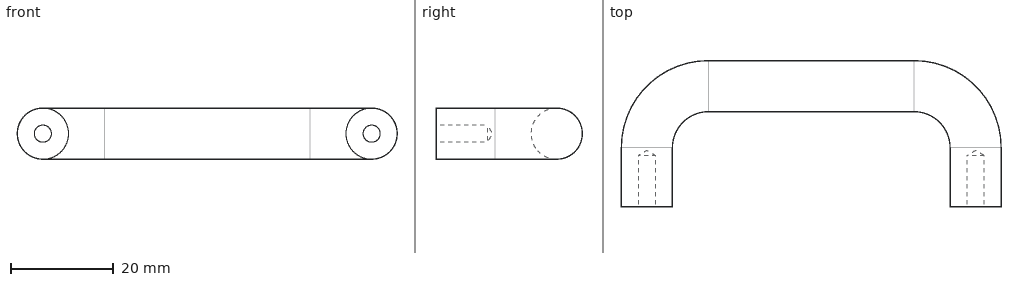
import cadquery as cq
import math

length = 74.0
height = 28.5
bar_diameter = 10.0
bend_radius = 12.0
hole_diameter = 3.3
hole_depth = 10.0
drill_point_angle = 118.0

leg_x = (length - bar_diameter) / 2
grip_y = height - bar_diameter / 2
leg_end_y = grip_y - bend_radius
grip_end_x = leg_x - bend_radius
bend_offset = bend_radius * math.sin(math.radians(45))
bend_mid_x = grip_end_x + bend_offset
bend_mid_y = leg_end_y + bend_offset
hole_radius = hole_diameter / 2
drill_point_depth = hole_radius / math.tan(math.radians(drill_point_angle / 2))


def handle_bar():
    """Round bar swept along a U-shaped centreline with its feet on Y = 0."""
    centreline = (
        cq.Workplane("XY")
        .moveTo(-leg_x, 0)
        .lineTo(-leg_x, leg_end_y)
        .threePointArc((-bend_mid_x, bend_mid_y), (-grip_end_x, grip_y))
        .lineTo(grip_end_x, grip_y)
        .threePointArc((bend_mid_x, bend_mid_y), (leg_x, leg_end_y))
        .lineTo(leg_x, 0)
    )
    return cq.Workplane("XZ").center(-leg_x, 0).circle(bar_diameter / 2).sweep(centreline)


def mounting_hole(x):
    """Cutter for a blind drilled hole with a conical bottom, running along +Y."""
    half_profile = (
        cq.Workplane("XY")
        .moveTo(x, 0)
        .lineTo(x + hole_radius, 0)
        .lineTo(x + hole_radius, hole_depth)
        .lineTo(x, hole_depth + drill_point_depth)
        .close()
    )
    return half_profile.revolve(360, (x, 0, 0), (x, 1, 0))


result = handle_bar()
for foot_x in (-leg_x, leg_x):
    result = result.cut(mounting_hole(foot_x))